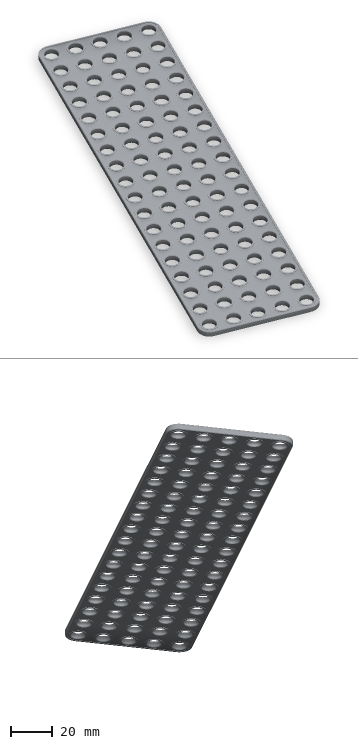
import cadquery as cq

length = 225.0
columns = 18
rows = 5
thickness = 3.2
hole_diameter = 7.0
rim_diameter = 9.2
edge_chamfer = 0.3
field_depth = 0.2

pitch = length / columns
width = rows * pitch
corner_radius = pitch / 2
hole_radius = hole_diameter / 2
rim_width = (rim_diameter - hole_diameter) / 2
top = thickness / 2


def rounded_slab(inset, height):
    """Plate outline moved inward by inset, as a slab centred on the origin."""
    slab = cq.Workplane("XY").box(length - 2 * inset, width - 2 * inset, height)
    return slab.edges("|Z").fillet(corner_radius - inset)


def repeat_on_grid(shape):
    """One copy of the shape in every cell of the grid."""
    grid = cq.Workplane("XY").rarray(pitch, pitch, columns, rows)
    return grid.eachpoint(lambda place: shape.moved(place), combine=False)


def make_plate():
    """Rounded rectangular plate with chamfered top and bottom edges."""
    return rounded_slab(0, thickness).faces("|Z").edges().chamfer(edge_chamfer)


def make_holes():
    """Through holes with a chamfer at each end, revolved about Z."""
    mouth_radius = hole_radius + edge_chamfer
    chamfer_end = top - edge_chamfer
    profile = cq.Workplane("XZ").polyline([
        (0, -top),
        (mouth_radius, -top),
        (hole_radius, -chamfer_end),
        (hole_radius, chamfer_end),
        (mouth_radius, top),
        (0, top),
    ])
    cutter = profile.close().revolve(360, (0, 0, 0), (0, 1, 0))
    return repeat_on_grid(cutter.val())


def make_field():
    """Sunken area inside the outer rim, leaving a ring standing around each hole."""
    ring = cq.Workplane("XY").circle(rim_diameter / 2).extrude(field_depth, both=True)
    area = rounded_slab(rim_width, field_depth)
    return area.cut(repeat_on_grid(ring.val()))


field = make_field()
field_center = top - field_depth / 2

result = make_plate().cut(make_holes())
for level in (field_center, -field_center):
    result = result.cut(field.translate((0, 0, level)))